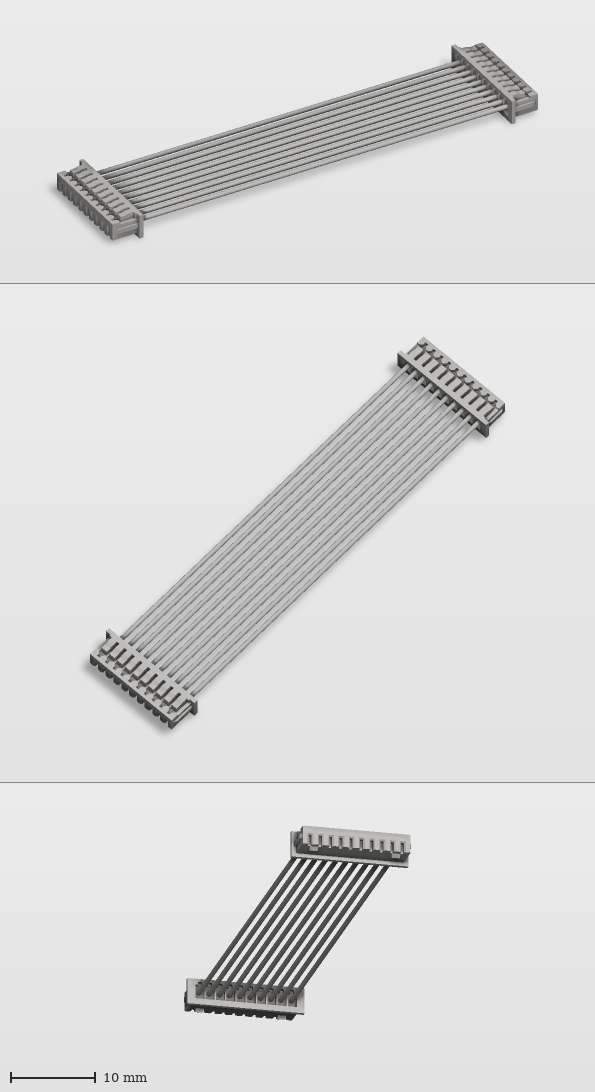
import cadquery as cq


CABLE_LENGTH = 57.9
CONTACT_COUNT = 10
CONTACT_SPAN = 11.25
PITCH = CONTACT_SPAN / (CONTACT_COUNT - 1)
CONTACT_X = [i * PITCH - CONTACT_SPAN / 2 for i in range(CONTACT_COUNT)]

FLANGE_WIDTH = 14.25
FLANGE_HEIGHT = 3.2
FLANGE_THICKNESS = 0.5
CONNECTOR_LENGTH = 3.9
FLANGE_Y = CONNECTOR_LENGTH - FLANGE_THICKNESS
FLANGE_TOP = FLANGE_HEIGHT / 2

BODY_WIDTH = 13.1
BODY_HEIGHT = 2.25
BODY_TOP = BODY_HEIGHT / 2

SHELF_Y = 1.1
SHELF_Z = 0.8

WEB_Y = 3.2
WEB_WIDTH = 12.75

OPENING_WIDTH = 1.0
OPENING_FLOOR_Z = 0.6
THROAT_WIDTH = 0.4
THROAT_Y = 0.4
TAPER_Y = 0.8

FINGER_WIDTH = 0.8
FINGER_TIP_Y = 1.45
FINGER_LEAN = 0.05
FINGER_RISE = 0.2
RAMP_START_Y = 2.0
RAMP_END_Y = 2.55

SLOT_WIDTH = 0.35
SLOT_TOP_Z = 0.05
SLOT_DEPTH = 0.7
SLOT_BEVEL = 0.2

RIB_HEIGHT = 0.6
RIB_PROTRUSION = 0.25
RIB_RAMP_START_Y = 0.25
RIB_RAMP_END_Y = 0.75
RIB_RAMP_SINK = 0.05

CATCH_WIDTH = 1.0
CATCH_X = (CONTACT_SPAN - PITCH) / 2
CATCH_START_Y = 0.7
CATCH_PEAK_Y = 1.1
CATCH_END_Y = 1.4
CATCH_HEIGHT = 0.4

WIRE_DIAMETER = 0.6
CAVITY_WIDTH = 1.1
CAVITY_HEIGHT = 1.75
CAVITY_DEPTH = 0.6

KEYWAY_WIDTH = 0.45
KEYWAY_TOP_Z = 1.2


def block(x_range, y_range, z_range):
    """Box between two limits on each axis."""
    (x0, x1), (y0, y1), (z0, z1) = x_range, y_range, z_range
    return cq.Workplane("XY").box(x1 - x0, y1 - y0, z1 - z0, centered=False).translate((x0, y0, z0))


def centred_block(x, width, y_range, z_range):
    """Box centred on x."""
    return block((x - width / 2, x + width / 2), y_range, z_range)


def side_profile(points, x, width):
    """Profile of (y, z) points extruded along X and centred on x."""
    return cq.Workplane("YZ").polyline(points).close().extrude(width / 2, both=True).translate((x, 0, 0))


def latch_opening(x):
    """Opening in the body top: throat, taper and the full width up to the web."""
    half_throat = THROAT_WIDTH / 2
    half_width = OPENING_WIDTH / 2
    right_side = [(half_throat, THROAT_Y), (half_throat, TAPER_Y), (half_width, SHELF_Y), (half_width, WEB_Y)]
    left_side = [(-px, py) for px, py in reversed(right_side)]
    outline = cq.Workplane("XY").polyline(right_side + left_side).close()
    return outline.extrude(FLANGE_TOP - OPENING_FLOOR_Z).translate((x, 0, OPENING_FLOOR_Z))


def latch_finger(x):
    """Latch finger standing on the opening floor and running into the web."""
    tip_z = FLANGE_TOP - FINGER_RISE
    profile = [
        (FINGER_TIP_Y - FINGER_LEAN, OPENING_FLOOR_Z),
        (FINGER_TIP_Y, tip_z),
        (RAMP_START_Y, tip_z),
        (RAMP_END_Y, FLANGE_TOP),
        (FLANGE_Y, FLANGE_TOP),
        (FLANGE_Y, OPENING_FLOOR_Z),
    ]
    return side_profile(profile, x, FINGER_WIDTH)


def contact_slot(x):
    """Contact slot and the bevel around its mouth."""
    slot_height = BODY_TOP + SLOT_TOP_Z
    slot_middle_z = (SLOT_TOP_Z - BODY_TOP) / 2
    slot = centred_block(x, SLOT_WIDTH, (0, SLOT_DEPTH), (-BODY_TOP, SLOT_TOP_Z))
    mouth = (
        cq.Workplane("XZ", origin=(x, 0, slot_middle_z))
        .rect(SLOT_WIDTH + 2 * SLOT_BEVEL, slot_height + 2 * SLOT_BEVEL)
        .workplane(offset=-SLOT_BEVEL)
        .rect(SLOT_WIDTH, slot_height)
        .loft(ruled=True)
    )
    return slot.union(mouth)


def side_rib(side):
    """Rib on one side of the body (side is +1 or -1), reaching the flange."""
    outer = BODY_WIDTH / 2 + RIB_PROTRUSION
    inner = BODY_WIDTH / 2 - RIB_RAMP_SINK
    points = [(inner, RIB_RAMP_START_Y), (outer, RIB_RAMP_END_Y), (outer, FLANGE_Y), (inner, FLANGE_Y)]
    outline = cq.Workplane("XY").polyline([(side * px, py) for px, py in points]).close()
    return outline.extrude(RIB_HEIGHT / 2, both=True)


def rib_relief(side):
    """Shallow recess in the body side where the rib ramp starts."""
    outer = BODY_WIDTH / 2
    inner = outer - RIB_RAMP_SINK
    x_range = sorted((side * inner, side * outer))
    return block(x_range, (RIB_RAMP_START_Y, RIB_RAMP_END_Y), (-RIB_HEIGHT / 2, RIB_HEIGHT / 2))


def catch(x):
    """Triangular catch under the body."""
    profile = [
        (CATCH_START_Y, -BODY_TOP),
        (CATCH_PEAK_Y, -BODY_TOP - CATCH_HEIGHT),
        (CATCH_END_Y, -BODY_TOP),
    ]
    return side_profile(profile, x, CATCH_WIDTH)


def wire_cavity(x):
    """Blind cavity in the rear of the flange, with a keyway above it."""
    y_range = (CONNECTOR_LENGTH - CAVITY_DEPTH, CONNECTOR_LENGTH)
    cavity = centred_block(x, CAVITY_WIDTH, y_range, (-CAVITY_HEIGHT / 2, CAVITY_HEIGHT / 2))
    keyway = centred_block(x, KEYWAY_WIDTH, (FLANGE_Y, CONNECTOR_LENGTH), (0, KEYWAY_TOP_Z))
    return cavity.union(keyway)


def connector():
    """Complete connector housing."""
    housing = centred_block(0, BODY_WIDTH, (0, FLANGE_Y), (-BODY_TOP, BODY_TOP))
    housing = housing.cut(centred_block(0, BODY_WIDTH, (SHELF_Y, FLANGE_Y), (SHELF_Z, BODY_TOP)))
    for side in (-1, 1):
        housing = housing.cut(rib_relief(side)).union(side_rib(side))
        housing = housing.union(catch(side * CATCH_X))

    flange_y = (FLANGE_Y, CONNECTOR_LENGTH)
    housing = housing.union(centred_block(0, FLANGE_WIDTH, flange_y, (-FLANGE_TOP, FLANGE_TOP)))
    housing = housing.union(centred_block(0, WEB_WIDTH, (WEB_Y, FLANGE_Y), (SHELF_Z, FLANGE_TOP)))

    for x in CONTACT_X:
        housing = housing.cut(latch_opening(x)).union(latch_finger(x))
        housing = housing.cut(contact_slot(x)).cut(wire_cavity(x))
    return housing


def wire(x):
    """Wire running between the cavity floors of the two connectors."""
    length = CABLE_LENGTH - 2 * (CONNECTOR_LENGTH - CAVITY_DEPTH)
    far_end = cq.Workplane("XZ", origin=(x, length / 2, 0))
    return far_end.circle(WIRE_DIAMETER / 2).extrude(length)


near_connector = connector().translate((0, -CABLE_LENGTH / 2, 0))
far_connector = near_connector.mirror("XZ")

result = near_connector.union(far_connector)
for wire_x in CONTACT_X:
    result = result.union(wire(wire_x))